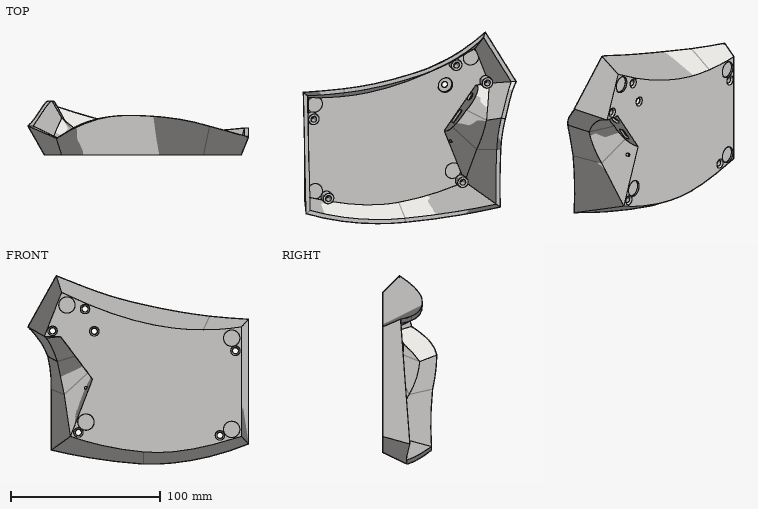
import cadquery as cq
import math


WALL = 3.0
FLOOR = 3.0
FLOOR_INSET = 1.8
CREASE_OFFSET = cq.Vector(3.0, 1.8, 0)
POCKET_ROOF = 2.2

FOOT_DIAMETER = 11.0
FOOT_THICKNESS = 0.9
FOOT_SUNK = 1.3
FOOT_CENTRES = [(26.2, 106.7), (136.5, 84.5), (38.9, 28.3), (136.5, 23.4)]

SCREW_DIAMETER = 4.0
COUNTERSINK_DIAMETER = 6.4
COUNTERSINK_DEPTH = (COUNTERSINK_DIAMETER - SCREW_DIAMETER) / 2
BOSS_DIAMETER = 7.4
BOSS_TOP = 8.1
BOSSED_SCREWS = [(38.3, 104.0), (16.5, 89.4), (139.0, 76.0), (33.9, 21.3), (128.7, 19.4)]
PLAIN_SCREWS = [(44.5, 89.0)]
RELIEF_DIAMETER = 10.0
RELIEF_FLOOR = 1.3

JACK_DIAMETER = 5.5
JACK_ALONG = 0.21
JACK_Y = 5.8
USB_LENGTH = 10.0
USB_WIDTH = 4.0
USB_CORNER = 1.0
USB_ALONG = 0.66
USB_Y = 6.0
RESET_DIAMETER = 2.0
RESET_CENTRE = cq.Vector(38.2, 5.2, 51.5)
CUT_REACH = 11.8

BASE_TOP_LEFT = (22.6, 0, 115.1)
BASE_TOP_JOINT = (117.6, 0, 90.1)
BASE_TOP_RIGHT = (143.0, 0, 92.0)
BASE_LOW_RIGHT = (143.0, 0, 18.6)
BASE_LOW_JOINT = (77.4, 0, 8.3)
BASE_LOW_LEFT = (28.5, 0, 18.6)
PANEL_LOW = (43.3, 0, 57.0)
PANEL_HIGH = (22.2, 0, 85.2)
BASE_SPUR = (11.1, 0, 85.7)

RIM_TOP_LEFT = (19.1, 11.2, 126.3)
RIM_TOP_JOINT = (121.8, 19.4, 99.3)
RIM_TOP_RIGHT = (148, 12.1, 97.2)
RIM_LOW_RIGHT = (148, 18.2, 13.6)
RIM_LOW_JOINT = (77.4, 16.7, 0.05)
RIM_LOW_LEFT = (15.7, 32.8, 9.5)
RIM_LEFT_JOINT = (15.5, 33.6, 50.3)
RIM_PEAK = (13.3, 36.4, 72.3)
RIM_SPUR = (0, 19.5, 92.0)

BASE_LOOP = [
    [BASE_TOP_LEFT, (47.3, 0, 104.3), (77.4, 0, 94.8), (99.5, 0, 91.0), BASE_TOP_JOINT],
    [BASE_TOP_JOINT, (130.2, 0, 90.5), BASE_TOP_RIGHT],
    [BASE_TOP_RIGHT, BASE_LOW_RIGHT],
    [BASE_LOW_RIGHT, (118.4, 0, 11.8), (96.2, 0, 8.3), BASE_LOW_JOINT],
    [BASE_LOW_JOINT, (56.2, 0, 11.2), BASE_LOW_LEFT],
    [BASE_LOW_LEFT, PANEL_LOW],
    [PANEL_LOW, PANEL_HIGH],
    [PANEL_HIGH, BASE_SPUR],
    [BASE_SPUR, BASE_TOP_LEFT],
]
RIM_LOOP = [
    [RIM_TOP_LEFT, (30.6, 17.8, 121.8), (55.0, 25.7, 112.9), (77.0, 26.5, 107.1),
     (99.5, 24.4, 102.5), RIM_TOP_JOINT],
    [RIM_TOP_JOINT, (134.6, 15.8, 98.1), RIM_TOP_RIGHT],
    [RIM_TOP_RIGHT, RIM_LOW_RIGHT],
    [RIM_LOW_RIGHT, (127.2, 16.5, 6.5), (99.5, 15.8, 1.0), RIM_LOW_JOINT],
    [RIM_LOW_JOINT, (45.9, 24.4, 3.5), RIM_LOW_LEFT],
    [RIM_LOW_LEFT, (15.7, 32.4, 29.6), RIM_LEFT_JOINT],
    [RIM_LEFT_JOINT, (15.1, 35.7, 62.1), RIM_PEAK],
    [RIM_PEAK, (11.1, 34.2, 77.4), (7.2, 28.5, 83.7), RIM_SPUR],
    [RIM_SPUR, RIM_TOP_LEFT],
]

CREASE_MID = [(15.1, 12.6, 80.2)]
CREASE_PEAK = (19.8, 23.1, 68.8)
CREASE_BELOW_PEAK = [(21.6, 21.6, 60.0)]
CREASE_JOINT = (24.4, 16.0, 46.7)

ROOF_RISE = [(0.05, 8.1), (0.15, 10.7)]
ROOF_PEAK = (0.45, 11.0)
ROOF_BELOW_PEAK = [(0.66, 10.7)]
ROOF_JOINT = (0.85, 8.6)
ROOF_END_BEND = [(0.945, 5.9)]

ALONG_Y = cq.Vector(0, 1, 0)


def curve(points):
    """Straight edge through two points, spline through more."""
    vectors = [cq.Vector(p) for p in points]
    if len(vectors) == 2:
        return cq.Edge.makeLine(*vectors)
    return cq.Edge.makeSpline(vectors)


def inset_loop(loop, distance, lift=0):
    """Move a closed loop of segments inward in the XZ plane with mitred corners."""
    points = [p for segment in loop for p in segment[:-1]]
    moved = []
    for i, (x, y, z) in enumerate(points):
        before = points[i - 1]
        after = points[(i + 1) % len(points)]
        heading_in = math.atan2(z - before[2], x - before[0])
        heading_out = math.atan2(after[2] - z, after[0] - x)
        half_turn = (heading_out - heading_in) / 2
        inward = heading_in + half_turn - math.pi / 2
        reach = distance / math.cos(half_turn)
        moved.append((x + reach * math.cos(inward), y + lift, z + reach * math.sin(inward)))
    inset = []
    start = 0
    for segment in loop:
        end = start + len(segment) - 1
        inset.append([moved[i % len(moved)] for i in range(start, end + 1)])
        start = end
    return inset


def shifted(points, offset):
    """Points moved by an offset vector."""
    return [(cq.Vector(p) + offset).toTuple() for p in points]


def skin(base_loop, rim_loop, crease_offset, roof_lift):
    """Floor and side faces between a base loop and a rim loop.

    The left wall is a flare from the rim to the crease, then a pocket from the crease to the
    roof edge of the flat connector panel.
    """
    (top_a, top_b, right, low_a, low_b, pocket_foot, panel_foot, ledge, spur) = base_loop
    (rim_top_a, rim_top_b, rim_right, rim_low_a, rim_low_b,
     rim_left_a, rim_left_b, rim_left_c, rim_spur) = rim_loop
    low_corner, panel_low = pocket_foot
    panel_high, spur_corner = ledge

    crease_mid = shifted(CREASE_MID, crease_offset)
    crease_below = shifted(CREASE_BELOW_PEAK, crease_offset)
    crease_peak, crease_joint = shifted([CREASE_PEAK, CREASE_JOINT], crease_offset)
    crease_a = [low_corner, crease_joint]
    crease_b = [crease_joint, *crease_below[::-1], crease_peak]
    crease_c = [crease_peak, *crease_mid[::-1], spur_corner]

    def on_panel(along, y):
        x, _, z = cq.Vector(panel_high) + (cq.Vector(panel_low) - cq.Vector(panel_high)) * along
        return (x, y + roof_lift, z)

    roof_peak = on_panel(*ROOF_PEAK)
    roof_joint = on_panel(*ROOF_JOINT)
    roof_a = [panel_low, *[on_panel(*p) for p in ROOF_END_BEND], roof_joint]
    roof_b = [roof_joint, *[on_panel(*p) for p in ROOF_BELOW_PEAK], roof_peak]
    roof_c = [roof_peak, *[on_panel(*p) for p in ROOF_RISE[::-1]], panel_high]

    ruled_pairs = [
        (top_a, rim_top_a), (top_b, rim_top_b), (right, rim_right),
        (low_a, rim_low_a), (low_b, rim_low_b), (spur, rim_spur),
        (crease_a, rim_left_a), (crease_b, rim_left_b), (crease_c, rim_left_c),
        (roof_a, crease_a), (roof_b, crease_b), (roof_c, crease_c),
    ]
    flat_outlines = [base_loop, [roof_a, roof_b, roof_c, panel_foot]]
    faces = [cq.Face.makeRuledSurface(curve(a), curve(b)) for a, b in ruled_pairs]
    for outline in flat_outlines:
        wire = cq.Wire.assembleEdges([curve(segment) for segment in outline])
        faces.append(cq.Face.makeFromWires(wire))
    return faces


def pin(centre, diameter, y_start, y_end):
    """Cylinder along Y at an (X, Z) centre."""
    x, z = centre
    base_centre = cq.Vector(x, y_start, z)
    return cq.Workplane(cq.Solid.makeCylinder(diameter / 2, y_end - y_start, base_centre, ALONG_Y))


def tray_body():
    """Hollow tray: an outer skin and an inner skin joined by the rim."""
    inner_base = inset_loop(BASE_LOOP, FLOOR_INSET, FLOOR)
    inner_rim = inset_loop(RIM_LOOP, WALL)
    faces = skin(BASE_LOOP, RIM_LOOP, cq.Vector(0, 0, 0), 0)
    faces += skin(inner_base, inner_rim, CREASE_OFFSET, POCKET_ROOF)
    faces += [cq.Face.makeRuledSurface(curve(a), curve(b)) for a, b in zip(RIM_LOOP, inner_rim)]
    return cq.Workplane(cq.Solid.makeSolid(cq.Shell.makeShell(faces)))


def screw_hole(centre):
    """Cutter for a through hole countersunk from the base."""
    x, z = centre
    countersink = cq.Solid.makeCone(
        COUNTERSINK_DIAMETER / 2, SCREW_DIAMETER / 2, COUNTERSINK_DEPTH,
        cq.Vector(x, 0, z), ALONG_Y,
    )
    return pin(centre, SCREW_DIAMETER, 0, BOSS_TOP).union(cq.Workplane(countersink))


def panel_plane(along, y):
    """Workplane on the connector panel, X running down the panel, normal into the tray."""
    high = cq.Vector(PANEL_HIGH)
    down = cq.Vector(PANEL_LOW) - high
    inward = cq.Vector(-down.z, 0, down.x)
    origin = high + down * along + cq.Vector(0, y, 0)
    return cq.Workplane(cq.Plane(origin=origin, xDir=down, normal=inward))


def side_openings():
    """Cutters for the jack and USB openings in the panel and the reset hole below them."""
    jack = panel_plane(JACK_ALONG, JACK_Y).circle(JACK_DIAMETER / 2).extrude(CUT_REACH / 2, both=True)
    usb = panel_plane(USB_ALONG, USB_Y).rect(USB_LENGTH, USB_WIDTH).extrude(CUT_REACH / 2, both=True)
    usb = usb.edges(cq.selectors.ParallelDirSelector(panel_plane(0, 0).plane.zDir)).fillet(USB_CORNER)
    foot_line = cq.Vector(PANEL_LOW) - cq.Vector(BASE_LOW_LEFT)
    inward = cq.Vector(foot_line.z, 0, -foot_line.x).normalized()
    reset = cq.Solid.makeCylinder(
        RESET_DIAMETER / 2, CUT_REACH, RESET_CENTRE - inward * (CUT_REACH / 2), inward
    )
    return [jack, usb, cq.Workplane(reset)]


def foot(centre):
    return pin(centre, FOOT_DIAMETER, FOOT_SUNK, FOOT_SUNK + FOOT_THICKNESS)


tray = tray_body()
for centre in BOSSED_SCREWS:
    tray = tray.union(pin(centre, BOSS_DIAMETER, FLOOR / 2, BOSS_TOP))
for centre in BOSSED_SCREWS + PLAIN_SCREWS:
    tray = tray.cut(screw_hole(centre))
for centre in PLAIN_SCREWS:
    tray = tray.cut(pin(centre, RELIEF_DIAMETER, RELIEF_FLOOR, FLOOR))
for centre in FOOT_CENTRES:
    tray = tray.cut(pin(centre, FOOT_DIAMETER, 0, FOOT_SUNK + FOOT_THICKNESS))
for opening in side_openings():
    tray = tray.cut(opening)

feet = [foot(centre) for centre in FOOT_CENTRES]

result = cq.Compound.makeCompound([tray.solids().val(), *[body.val() for body in feet]])